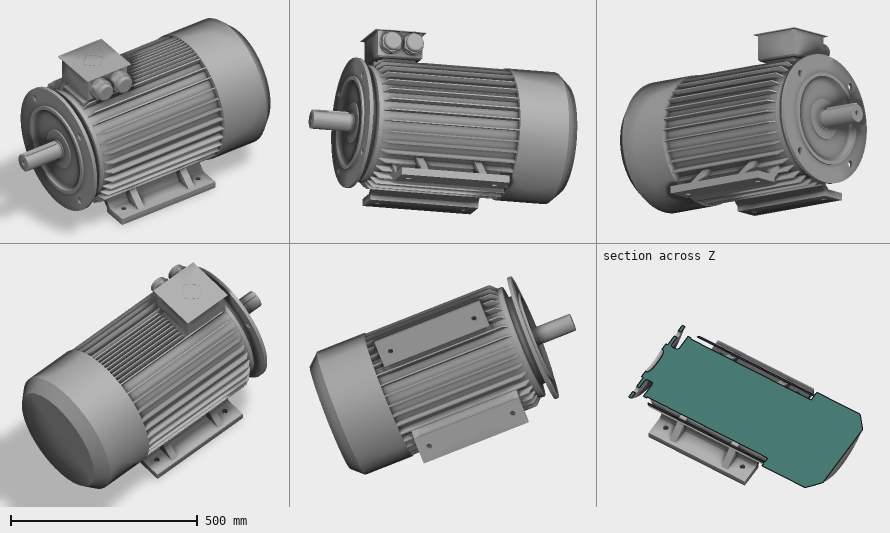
import cadquery as cq
import math


SHAFT_DIA = 48.0
SHAFT_LENGTH = 110.0
CENTRE_HOLE_DIA = 15.0
CENTRE_HOLE_DEPTH = 14.0
KEY_WIDTH = 14.0
KEY_LENGTH = 104.0
KEY_END_GAP = 1.0
KEY_TOP = 27.0

FLANGE_DIA = 350.0
FLANGE_THICKNESS = 10.0
SPIGOT_DIA = 250.0
SPIGOT_HEIGHT = 5.5
HUB_FILLET = 5.0
RECESS_MOUTH_DIA = 230.0
RECESS_FLOOR_DIA = 210.0
RECESS_DEPTH = 12.5
BOSS_DIA = 110.0
BOSS_HEIGHT = 3.5
COLLAR_DIA = 55.0
COLLAR_HEIGHT = 3.0
BOLT_HOLE_DIA = 19.0
BOLT_CIRCLE_DIA = 300.0

SHIELD_DIA = 315.0
SHIELD_FRONT = 32.0
HOUSING_FRONT = 43.5
SHELL_DIA = 310.0
FIN_ROOT_RADIUS = 140.0
FIN_TIP_RADIUS = 174.0
FIN_FRONT = 47.0
FIN_BEVEL = 15.5
FIN_THICKNESS = 3.5
FIN_STEP_ANGLE = 10
FIN_FIRST_ANGLE = 20
FIN_LAST_ANGLE = 340
TOP_FIN_COUNT = 9
TOP_FIN_PITCH = 12.0
TOP_FIN_THICKNESS = 3.0
TOP_FIN_FRONT = 185.0
TOP_FIN_BEVEL = 10.5

COVER_DIA = 355.0
COVER_FRONT = 421.5
COVER_END = 700 - SHAFT_LENGTH
COVER_BEVEL_LENGTH = 32.0
COVER_BEVEL_HEIGHT = 29.5

SHAFT_HEIGHT = 180.0
FOOT_OUTER_X = COVER_DIA / 2
FOOT_INNER_X = 106.5
FOOT_THICKNESS = 19.5
FOOT_LENGTH = 302.5
FOOT_CENTRE_Y = 240.0
WEB_FOOT_X = 121.0
WEB_INNER_RISE = 12.5
WEB_REACH = 36.5
RIB_FOOT_X = 168.0
RIB_TOP_X = 116.0
RIB_RISE = 46.0
RIB_THICKNESS = 19.5
RIB_SPACING = 163.0
FOOT_HOLE_DIA = 15.0
FOOT_HOLE_X = 139.0
FOOT_HOLE_SPACING = 241.0

BOX_CENTRE_Y = 120.5
BOX_WIDTH = 124.5
BOX_BOTTOM = 172.0
BOX_BOTTOM_CHAMFER = 4.0
BOX_TOP = 246.5
LID_WIDTH = 141.5
LID_THICKNESS = 2.0
NECK_WIDTH = 94.5
PAD_TOP = 161.0
PAD_FRONT = 51.0
BADGE_CENTRE_Y = 116.0
BADGE_WIDTH = 48.0
BADGE_CORNER_RADIUS = 9.0
BADGE_GROOVE_WIDTH = 3.0
BADGE_GROOVE_DEPTH = 1.0

GLAND_SPACING = 61.5
GLAND_Z = 209.0
GLAND_COLLAR_DIA = 55.0
GLAND_COLLAR_LENGTH = 8.5
GLAND_HEX_FLATS = 51.0
GLAND_HEX_CORNER_DIA = 57.0
GLAND_HEX_LENGTH = 18.0
GLAND_HEX_CHAMFER = 2.0
GLAND_CAP_DIA = 48.0
GLAND_CAP_LENGTH = 13.0
GLAND_CAP_FILLET = 5.5


def revolve_about_shaft(profile):
    """Revolve a closed (radius, y) profile about the Y axis."""
    return cq.Workplane("XY").polyline(profile).close().revolve(360, (0, 0), (0, 1))


def cylinder_y(diameter, start, end):
    """Cylinder about the shaft axis between two y positions."""
    return cq.Workplane("XZ", origin=(0, start, 0)).circle(diameter / 2).extrude(start - end)


def block(width, length, bottom, top, centre_y):
    """Box centred on x = 0, between two heights."""
    return (cq.Workplane("XY", origin=(0, centre_y, bottom))
            .rect(width, length).extrude(top - bottom))


def make_flange():
    hub_r = SPIGOT_DIA / 2
    flange_r = FLANGE_DIA / 2
    mouth_r = RECESS_MOUTH_DIA / 2
    floor_r = RECESS_FLOOR_DIA / 2
    floor_y = RECESS_DEPTH - SPIGOT_HEIGHT
    boss_y = floor_y - BOSS_HEIGHT
    collar_y = boss_y - COLLAR_HEIGHT
    recess_fillet = mouth_r - floor_r
    fillet_mid = recess_fillet * math.sqrt(0.5)
    flange = (
        cq.Workplane("XY")
        .moveTo(0, collar_y)
        .lineTo(COLLAR_DIA / 2, collar_y)
        .lineTo(COLLAR_DIA / 2, boss_y)
        .lineTo(BOSS_DIA / 2, boss_y)
        .lineTo(BOSS_DIA / 2, floor_y)
        .lineTo(floor_r, floor_y)
        .threePointArc((floor_r + fillet_mid, floor_y - recess_fillet + fillet_mid),
                       (mouth_r, floor_y - recess_fillet))
        .lineTo(mouth_r, -SPIGOT_HEIGHT)
        .lineTo(hub_r, -SPIGOT_HEIGHT)
        .lineTo(hub_r, 0)
        .lineTo(flange_r, 0)
        .lineTo(flange_r, FLANGE_THICKNESS)
        .lineTo(0, FLANGE_THICKNESS)
        .close()
        .revolve(360, (0, 0), (0, 1))
    )
    flared_r = hub_r + HUB_FILLET
    arc_depth = HUB_FILLET * (1 - math.sqrt(0.5))
    hub = (
        cq.Workplane("XY")
        .moveTo(0, FLANGE_THICKNESS)
        .lineTo(flared_r, FLANGE_THICKNESS)
        .threePointArc((hub_r + arc_depth, FLANGE_THICKNESS + arc_depth),
                       (hub_r, FLANGE_THICKNESS + HUB_FILLET))
        .lineTo(hub_r, SHIELD_FRONT - HUB_FILLET)
        .threePointArc((hub_r + arc_depth, SHIELD_FRONT - arc_depth),
                       (flared_r, SHIELD_FRONT))
        .lineTo(0, SHIELD_FRONT)
        .close()
        .revolve(360, (0, 0), (0, 1))
    )
    bolt_holes = (cq.Workplane("XZ").polarArray(BOLT_CIRCLE_DIA / 2, 45, 360, 4)
                  .circle(BOLT_HOLE_DIA / 2).extrude(-FLANGE_THICKNESS))
    return flange.cut(bolt_holes).union(hub)


def make_shaft():
    shaft = cylinder_y(SHAFT_DIA, -SHAFT_LENGTH, SHIELD_FRONT)
    key_centre_y = -SHAFT_LENGTH + KEY_END_GAP + KEY_LENGTH / 2
    key = (cq.Workplane("XY", origin=(0, key_centre_y, 0))
           .slot2D(KEY_LENGTH, KEY_WIDTH, 90).extrude(KEY_TOP))
    centre_hole = cylinder_y(CENTRE_HOLE_DIA, -SHAFT_LENGTH, CENTRE_HOLE_DEPTH - SHAFT_LENGTH)
    return shaft.union(key).cut(centre_hole)


def make_fins():
    """Radial fins with bevelled front corners, plus upright fins along the top."""
    fin_profile = [
        (FIN_FRONT, FIN_ROOT_RADIUS),
        (FIN_FRONT, FIN_TIP_RADIUS - FIN_BEVEL),
        (FIN_FRONT + FIN_BEVEL, FIN_TIP_RADIUS),
        (COVER_FRONT, FIN_TIP_RADIUS),
        (COVER_FRONT, FIN_ROOT_RADIUS),
    ]
    upright_fin = cq.Workplane("YZ").polyline(fin_profile).close()
    upright_fin = upright_fin.extrude(FIN_THICKNESS / 2, both=True)
    fins = cq.Workplane("XY")
    for angle in range(FIN_FIRST_ANGLE, FIN_LAST_ANGLE + 1, FIN_STEP_ANGLE):
        fins = fins.add(upright_fin.rotate((0, 0, 0), (0, 1, 0), angle))

    for index in range(TOP_FIN_COUNT):
        x = (index - (TOP_FIN_COUNT - 1) / 2) * TOP_FIN_PITCH
        top = math.sqrt(FIN_TIP_RADIUS ** 2 - x ** 2)
        top_profile = [
            (TOP_FIN_FRONT, FIN_ROOT_RADIUS),
            (TOP_FIN_FRONT, top - TOP_FIN_BEVEL),
            (TOP_FIN_FRONT + TOP_FIN_BEVEL, top),
            (COVER_FRONT, top),
            (COVER_FRONT, FIN_ROOT_RADIUS),
        ]
        top_fin = cq.Workplane("YZ", origin=(x, 0, 0)).polyline(top_profile).close()
        fins = fins.add(top_fin.extrude(TOP_FIN_THICKNESS / 2, both=True))
    return fins


def make_housing():
    shield = cylinder_y(SHIELD_DIA, SHIELD_FRONT, HOUSING_FRONT)
    shell = cylinder_y(SHELL_DIA, HOUSING_FRONT, COVER_FRONT)
    return shield.union(shell).union(make_fins())


def make_fan_cover():
    radius = COVER_DIA / 2
    return revolve_about_shaft([
        (0, COVER_FRONT),
        (radius, COVER_FRONT),
        (radius, COVER_END - COVER_BEVEL_LENGTH),
        (radius - COVER_BEVEL_HEIGHT, COVER_END),
        (0, COVER_END),
    ])


def make_foot():
    """Foot on the +X side: plate with a 45 degree web and two ribs."""
    bottom = -SHAFT_HEIGHT
    top = bottom + FOOT_THICKNESS
    web_inner_z = bottom + WEB_INNER_RISE

    def extrude_profile(points, centre_y, length):
        return (cq.Workplane("XZ", origin=(0, centre_y, 0))
                .polyline(points).close().extrude(length / 2, both=True))

    foot = extrude_profile([
        (FOOT_OUTER_X, bottom),
        (FOOT_OUTER_X, top),
        (WEB_FOOT_X, top),
        (WEB_FOOT_X - WEB_REACH, top + WEB_REACH),
        (FOOT_INNER_X - WEB_REACH, web_inner_z + WEB_REACH),
        (FOOT_INNER_X, web_inner_z),
        (FOOT_INNER_X, bottom),
    ], FOOT_CENTRE_Y, FOOT_LENGTH)
    rib_profile = [
        (RIB_FOOT_X, top),
        (RIB_TOP_X, top + RIB_RISE),
        (WEB_FOOT_X - WEB_REACH, top + RIB_RISE),
        (WEB_FOOT_X, top),
    ]
    for side in (-1, 1):
        rib_y = FOOT_CENTRE_Y + side * RIB_SPACING / 2
        foot = foot.union(extrude_profile(rib_profile, rib_y, RIB_THICKNESS))
    holes = (cq.Workplane("XY", origin=(FOOT_HOLE_X, FOOT_CENTRE_Y, bottom))
             .rarray(7, FOOT_HOLE_SPACING, 1, 2)
             .circle(FOOT_HOLE_DIA / 2).extrude(FOOT_THICKNESS))
    return foot.cut(holes)


def make_gland(centre_y):
    """Cable gland on the +X wall: collar, hexagon with a rounded corner up, and rounded cap."""
    def wall_plane(x):
        return cq.Workplane("YZ", origin=(x, centre_y, GLAND_Z))

    wall_x = BOX_WIDTH / 2
    hex_x = wall_x + GLAND_COLLAR_LENGTH
    cap_x = hex_x + GLAND_HEX_LENGTH
    collar = wall_plane(wall_x).circle(GLAND_COLLAR_DIA / 2).extrude(GLAND_COLLAR_LENGTH)
    hexagon = (wall_plane(hex_x)
               .polygon(6, GLAND_HEX_FLATS, circumscribed=True).extrude(GLAND_HEX_LENGTH))
    corner_limit = (wall_plane(hex_x).circle(GLAND_HEX_CORNER_DIA / 2).extrude(GLAND_HEX_LENGTH)
                    .faces(">X").edges().chamfer(GLAND_HEX_CHAMFER))
    hexagon = hexagon.intersect(corner_limit)
    cap = (wall_plane(cap_x).circle(GLAND_CAP_DIA / 2).extrude(GLAND_CAP_LENGTH)
           .faces(">X").edges().fillet(GLAND_CAP_FILLET))
    return collar.union(hexagon).union(cap)


def make_badge_groove():
    """Rounded square groove, set cornerwise in the lid."""
    def rounded_square(width, radius):
        return (cq.Workplane("XY", origin=(0, BADGE_CENTRE_Y, BOX_TOP - BADGE_GROOVE_DEPTH))
                .transformed(rotate=(0, 0, 45)).rect(width, width)
                .extrude(BADGE_GROOVE_DEPTH).edges("|Z").fillet(radius))

    outer = rounded_square(BADGE_WIDTH, BADGE_CORNER_RADIUS)
    inner = rounded_square(BADGE_WIDTH - 2 * BADGE_GROOVE_WIDTH,
                           BADGE_CORNER_RADIUS - BADGE_GROOVE_WIDTH)
    return outer.cut(inner)


def make_terminal_box():
    pad_rear = BOX_CENTRE_Y + NECK_WIDTH / 2
    pad_length = pad_rear - PAD_FRONT
    pad = block(NECK_WIDTH, pad_length, 0, PAD_TOP, pad_rear - pad_length / 2)
    neck = block(NECK_WIDTH, NECK_WIDTH, 0, BOX_BOTTOM, BOX_CENTRE_Y)
    body = (block(BOX_WIDTH, BOX_WIDTH, BOX_BOTTOM, BOX_TOP - LID_THICKNESS, BOX_CENTRE_Y)
            .faces("<Z").edges().chamfer(BOX_BOTTOM_CHAMFER))
    lid = block(LID_WIDTH, LID_WIDTH, BOX_TOP - LID_THICKNESS, BOX_TOP, BOX_CENTRE_Y)
    box = pad.union(neck).union(body).union(lid.cut(make_badge_groove()))
    for side in (-1, 1):
        box = box.union(make_gland(BOX_CENTRE_Y + side * GLAND_SPACING / 2))
    return box


foot = make_foot()
result = (
    make_housing()
    .union(make_flange())
    .union(make_shaft())
    .union(make_fan_cover())
    .union(foot)
    .union(foot.mirror("YZ"))
    .union(make_terminal_box())
)